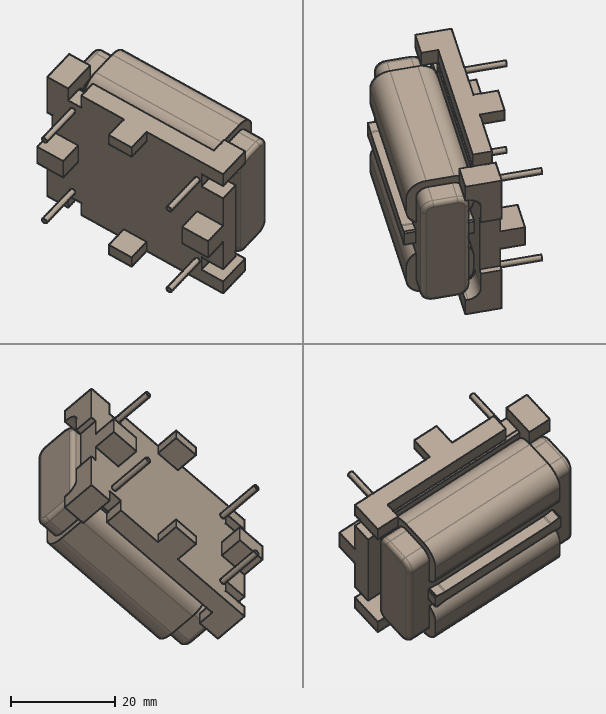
import cadquery as cq

length = 41.75
height = 35.2
seat_level = 4.1
rim_level = 3.8
groove_level = 3.45
groove_slope_width = 0.35

ear_width = 4.95
ear_level = 7.18
seat_half_height = 13.7
seat_radius = 2.6

edge_notch_width = 3.1
edge_notch_depth = 3.5
end_notch_length = 5.15
end_notch_low = 10.47
end_recess_depth = 1.15
end_recess_height = 14.2

foot_depth = 4.9
side_foot_width = 5.42
side_foot_height = 2.75
end_foot_length = 6.18
end_foot_height = 4.85
pin_diameter = 1.2
pin_length = 9.3
pin_x = 14.77
pin_z = 11.95

inductor_y = 10.85
core_length = 39.73
core_depth = 9.47
core_height = 26.8
core_corner_radius = 2.35
core_end_fillet = 0.9
coil_start_x = -15.3
coil_end_x = 14.85
coil_depth = 13.25
coil_height = 11.48
coil_outer_z = 15.2
coil_corner_radius = 3.9
web_top = 17.9
web_half_length = 15.2
web_end_half_thickness = 1.85
web_end_chamfer = 0.3
web_middle_half_length = 12.8
web_middle_half_thickness = 1.45
web_blend_radius = 1.65

half_length = length / 2
half_height = height / 2
groove_z = half_height - edge_notch_depth


def box(x_start, x_end, y_start, y_end, z_start, z_end):
    """Block between the given limits."""
    return cq.Workplane("XY").box(
        x_end - x_start, y_end - y_start, z_end - z_start, centered=False
    ).translate((x_start, y_start, z_start))


def rounded_bar(x_start, x_end, depth, bar_height, radius, center_y, center_z):
    """Bar along X with its four long edges rounded."""
    bar = cq.Workplane("XY").box(x_end - x_start, depth, bar_height).edges("|X").fillet(radius)
    return bar.translate(((x_start + x_end) / 2, center_y, center_z))


def make_plate():
    """Plate between the ears: raised seat, sloped flanks and a lower rim on each side."""
    slope_top_z = groove_z - groove_slope_width
    upper_profile = [
        (slope_top_z, seat_level),
        (groove_z, groove_level),
        (groove_z, rim_level),
        (half_height, rim_level),
        (half_height, 0),
    ]
    lower_profile = [(-z, y) for z, y in reversed(upper_profile)]
    profile = [(y, z) for z, y in upper_profile + lower_profile]
    return cq.Workplane("YZ").polyline(profile).close().extrude(length).translate((-half_length, 0, 0))


def make_ears():
    """Full-height end blocks, hollowed by the core seat."""
    ears = box(-half_length, -half_length + ear_width, 0, ear_level, -half_height, half_height)
    ears = ears.union(ears.mirror("YZ"))
    seat_depth = 2 * (ear_level - seat_level + seat_radius)
    seat = rounded_bar(
        -half_length, half_length, seat_depth, 2 * seat_half_height,
        seat_radius, seat_level + seat_depth / 2, 0,
    )
    return ears.cut(seat)


def cut_outline(base):
    """Coil notches in the long edges, notches in the +X end and the shallow -X end recess."""
    notch_start = -half_length + ear_width
    for side in (1, -1):
        edge_notch = box(
            notch_start, notch_start + edge_notch_width, 0, ear_level, groove_z, half_height
        )
        end_notch = box(
            half_length - end_notch_length, half_length, 0, ear_level, end_notch_low, groove_z
        )
        if side < 0:
            edge_notch = edge_notch.mirror("XY")
            end_notch = end_notch.mirror("XY")
        base = base.cut(edge_notch).cut(end_notch)
    recess = box(
        -half_length, -half_length + end_recess_depth, 0, ear_level,
        -end_recess_height / 2, end_recess_height / 2,
    )
    return base.cut(recess)


def add_feet(base):
    """Two feet on the long edges and two at the ends."""
    half_width = side_foot_width / 2
    side_foot = box(
        -half_width, half_width, -foot_depth, 0, half_height - side_foot_height, half_height
    )
    base = base.union(side_foot).union(side_foot.mirror("XY"))
    half_foot = end_foot_height / 2
    for start_x in (-half_length + end_recess_depth, half_length - end_foot_length):
        base = base.union(box(start_x, start_x + end_foot_length, -foot_depth, 0, -half_foot, half_foot))
    return base


def add_pins(base):
    """Four round pins standing out of the Y = 0 face."""
    corners = [(x, z) for x in (-pin_x, pin_x) for z in (-pin_z, pin_z)]
    pins = cq.Workplane("XZ").pushPoints(corners).circle(pin_diameter / 2).extrude(pin_length)
    return base.union(pins)


def make_base():
    return add_pins(add_feet(cut_outline(make_plate().union(make_ears()))))


def make_core():
    """Rounded core block with softened end faces."""
    core = rounded_bar(
        -core_length / 2, core_length / 2, core_depth, core_height, core_corner_radius, inductor_y, 0
    )
    return core.faces("<X or >X").edges().fillet(core_end_fillet)


def make_coil(side):
    """One wound coil, above (side = 1) or below (side = -1) the web."""
    center_z = side * (coil_outer_z - coil_height / 2)
    return rounded_bar(
        coil_start_x, coil_end_x, coil_depth, coil_height, coil_corner_radius, inductor_y, center_z
    )


def make_web():
    """Web between the coils, resting on the base and flaring towards its chamfered ends."""
    flare_x = web_half_length - web_end_chamfer
    tip_z = web_end_half_thickness - web_end_chamfer
    right_half = [
        (web_middle_half_length, web_middle_half_thickness),
        (flare_x, web_end_half_thickness),
        (web_half_length, tip_z),
        (web_half_length, -tip_z),
        (flare_x, -web_end_half_thickness),
        (web_middle_half_length, -web_middle_half_thickness),
    ]
    left_half = [(-x, -z) for x, z in right_half]
    web = cq.Workplane("XZ").polyline(right_half + left_half).close().extrude(seat_level - web_top)
    web = web.translate((0, seat_level, 0))
    inside_ends = cq.selectors.BoxSelector(
        (-flare_x + web_end_chamfer, 0, -half_height), (flare_x - web_end_chamfer, web_top, half_height)
    )
    return web.edges("|Y").edges(inside_ends).fillet(web_blend_radius)


def make_inductor():
    inductor = make_core().union(make_web())
    for side in (1, -1):
        inductor = inductor.union(make_coil(side))
    return inductor


base = make_base()
inductor = make_inductor()

result = cq.Compound.makeCompound([base.val(), inductor.val()])